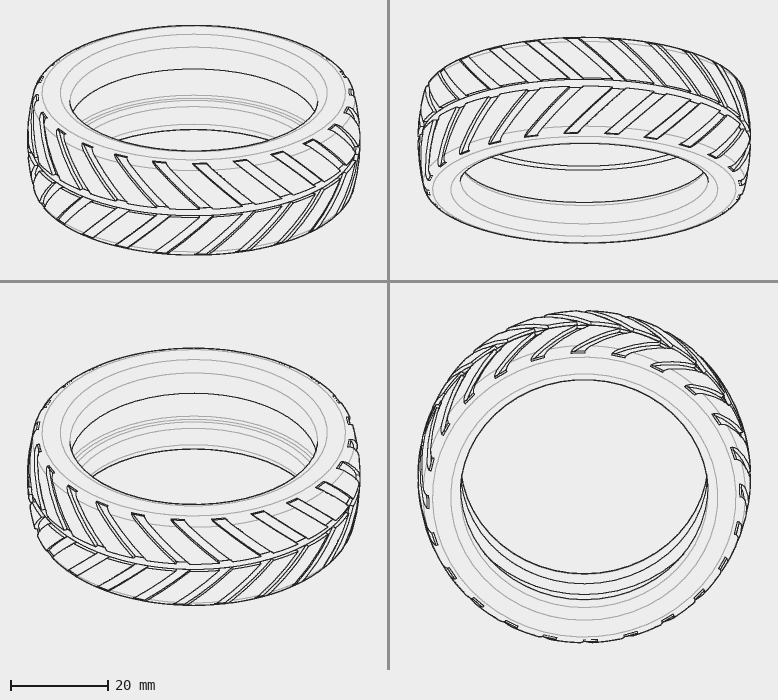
import cadquery as cq
import math

outer_radius = 34.3
half_height = 10.85
bore_radius = 25.55
edge_fillet = 2.0

crown_radius = 39.8

tread_depth = 0.8
slot_half_width = 0.9

seat_radius = 27.95
seat_half_height = 3.85
lip_fillet = 0.95
seat_corner_fillet = 0.5

groove_count = 24
groove_width = 2.8
groove_run = 9.9
groove_end_gap = 0.4
first_groove_angle = 2.3


def crowned_disc(inset):
    """Solid disc with a crowned rim, sunk below the tread surface by the inset."""
    mid_radius = outer_radius - inset
    arc_radius = crown_radius - inset
    arc_drop = arc_radius - math.sqrt(arc_radius**2 - half_height**2)
    face_radius = mid_radius - arc_drop
    return (
        cq.Workplane("XZ")
        .moveTo(0, -half_height)
        .lineTo(face_radius, -half_height)
        .threePointArc((mid_radius, 0), (face_radius, half_height))
        .lineTo(0, half_height)
        .close()
        .revolve(360, (0, 0, 0), (0, 1, 0))
    )


def slanted_bar():
    """Slanted bar above the slot, running outward along -Y through the tread."""
    z_low = slot_half_width
    z_high = half_height - groove_end_gap
    half_run = groove_run / 2
    half_width = groove_width / 2
    return (
        cq.Workplane("XZ", origin=(0, -bore_radius, 0))
        .polyline([
            (half_run - half_width, z_low),
            (half_run + half_width, z_low),
            (half_width - half_run, z_high),
            (-half_width - half_run, z_high),
        ])
        .close()
        .extrude(outer_radius)
    )


def all_bars():
    """Slanted bars all around the tread, above and below the slot."""
    pitch = 360 / groove_count
    bars = []
    for i in range(groove_count):
        angle = first_groove_angle + i * pitch
        bar = slanted_bar().rotate((0, 0, 0), (0, 0, 1), angle).val()
        bars += [bar, bar.mirror("XY")]
    return cq.Workplane(obj=cq.Compound.makeCompound(bars))


bore = cq.Workplane("XY").circle(bore_radius).extrude(half_height, both=True)
body = crowned_disc(0).cut(bore).faces("|Z").edges().fillet(edge_fillet)

seat = cq.Workplane("XY").circle(seat_radius).extrude(seat_half_height, both=True)
seat = seat.faces("<Z").edges().fillet(seat_corner_fillet)
body = body.cut(seat)

lower_ledge = body.faces("+Z").faces("<Z")
inner_edge = cq.selectors.RadiusNthSelector(0)
body = lower_ledge.edges(inner_edge).fillet(lip_fillet)

slot_floor_radius = outer_radius - tread_depth
slot = (
    cq.Workplane("XY")
    .circle(2 * outer_radius)
    .circle(slot_floor_radius)
    .extrude(slot_half_width, both=True)
)

grooves = all_bars().cut(crowned_disc(tread_depth))

result = body.cut(slot).cut(grooves)